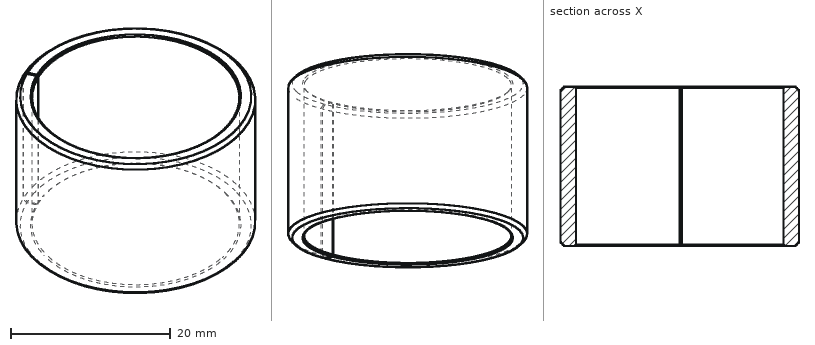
import cadquery as cq

outer_diameter = 30.0
wall_thickness = 2.0
length = 20.0
outer_chamfer = 0.5
inner_chamfer = 0.2
slit_angle = 1.0

outer_radius = outer_diameter / 2
inner_radius = outer_radius - wall_thickness


def bush_body():
    """Revolve the wall section, chamfered on all four edges, about Z."""
    section = (
        cq.Workplane("XZ")
        .moveTo(inner_radius + inner_chamfer, 0)
        .lineTo(outer_radius - outer_chamfer, 0)
        .lineTo(outer_radius, outer_chamfer)
        .lineTo(outer_radius, length - outer_chamfer)
        .lineTo(outer_radius - outer_chamfer, length)
        .lineTo(inner_radius + inner_chamfer, length)
        .lineTo(inner_radius, length - inner_chamfer)
        .lineTo(inner_radius, inner_chamfer)
        .close()
    )
    return section.revolve(360, (0, 0, 0), (0, 1, 0))


def slit_wedge():
    """Full-length wedge on the -X side, opening from the XZ plane toward +Y."""
    reach = outer_diameter
    half_plane = cq.Workplane("XZ").rect(-reach, length, centered=False)
    return half_plane.revolve(slit_angle, (0, 0, 0), (0, -1, 0))


result = bush_body().cut(slit_wedge())